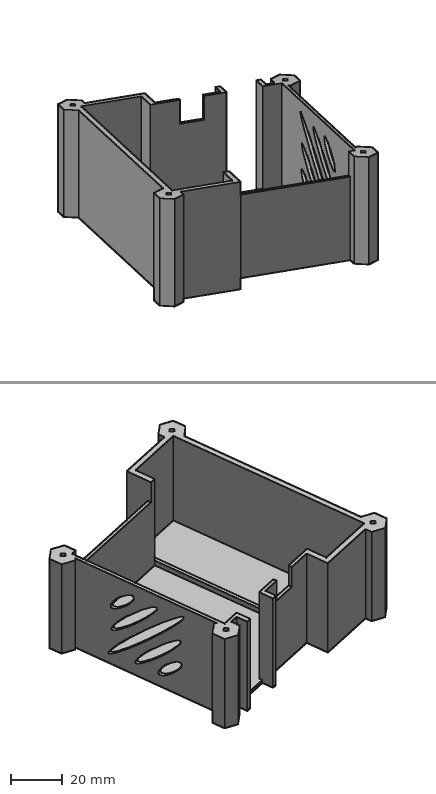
import cadquery as cq
import math

height = 45.0
post_pitch_y = 85.0
front_post_pitch_x = 95.0
rear_post_pitch_x = 77.0

post_corner_diameter = 11.5
post_flat_width = post_corner_diameter * math.cos(math.radians(30))
screw_hole_diameter = 2.0
screw_hole_depth = 10.0

front_width = front_post_pitch_x
front_depth = 30.0
front_wall = 2.5
front_floor = front_wall

rear_width = 75.0
rear_wall = 1.5
rear_floor = rear_wall
rear_back_y = 84.0
rear_inner_width = rear_width - 2 * rear_wall
rear_inner_front_y = front_depth - front_wall
rear_inner_back_y = rear_back_y - rear_wall
rear_front_y = rear_inner_front_y - rear_wall
sill_height = front_floor + rear_wall

notch_depth = 10.0
notch_width = 10.0
notch_front_y = 40.0
window_width = 15.0
window_inset = 8.0
window_back_y = rear_inner_back_y - window_inset
window_front_y = window_back_y - window_width
lowered_wall_back_y = post_pitch_y - post_flat_width / 2

fin_length = 5.0
fin_thickness = 2.0

vent_spacing = 8.0
vent_half_width = 2.0
vent_half_lengths = (7.5, 15.0, 25.0, 15.0, 7.5)
vent_angle = 45


def block(x_min, x_max, y_min, y_max, z_min, z_max):
    """Axis-aligned box between the given limits."""
    size = (x_max - x_min, y_max - y_min, z_max - z_min)
    return cq.Workplane("XY").box(*size, centered=False).translate((x_min, y_min, z_min))


def centred_block(width, y_min, y_max, z_min, z_max):
    """Box spread evenly to both sides of x = 0."""
    return block(-width / 2, width / 2, y_min, y_max, z_min, z_max)


def make_shell(posts):
    """Both compartments and the posts, hollowed out around the low sill."""
    front = centred_block(front_width, 0, front_depth, 0, height)
    rear = centred_block(rear_width, rear_front_y, rear_back_y, 0, height)
    front_cavity = centred_block(
        front_width - 2 * front_wall, front_wall, rear_inner_front_y, front_floor, height
    )
    rear_cavity = centred_block(
        rear_inner_width, rear_inner_front_y, rear_inner_back_y, rear_floor, height
    )
    sill = centred_block(rear_width, rear_front_y, rear_inner_front_y, 0, sill_height)
    return front.union(rear).union(posts).cut(front_cavity).cut(rear_cavity).union(sill)


def make_fins():
    """Two fins standing out from the left wall, one at each side of the window."""
    x_min = -rear_width / 2 - fin_length
    x_max = -rear_width / 2 + rear_wall
    front_fin = block(x_min, x_max, window_front_y - fin_thickness, window_front_y, 0, height)
    back_fin = block(x_min, x_max, window_back_y, window_back_y + fin_thickness, 0, height)
    return front_fin.union(back_fin)


def make_side_openings():
    """Window and notch in the left wall, and the lowered stretch of the right wall."""
    left = -rear_width / 2
    right = rear_width / 2
    lowered_z = height - notch_depth
    notch_back_y = notch_front_y + notch_width
    window = block(left, left + rear_wall, window_front_y, window_back_y, rear_floor, height)
    notch = block(left, left + rear_wall, notch_front_y, notch_back_y, lowered_z, height)
    lowered = block(right - rear_wall, right, front_depth, lowered_wall_back_y, lowered_z, height)
    return window.union(notch).union(lowered)


def make_vents():
    """Row of parallel ellipses, stepped across their long axes about the middle of the wall."""
    vents = cq.Workplane("XY")
    middle = (len(vent_half_lengths) - 1) / 2
    step = vent_spacing * math.sin(math.radians(vent_angle))
    for index, half_length in enumerate(vent_half_lengths):
        offset = (index - middle) * step
        vent = (
            cq.Workplane("XZ", origin=(offset, rear_back_y, height / 2 + offset))
            .ellipse(half_length, vent_half_width, rotation_angle=-vent_angle)
            .extrude(rear_wall)
        )
        vents = vents.add(vent)
    return vents.combine()


post_centres = [
    (side * pitch / 2, y)
    for pitch, y in ((front_post_pitch_x, 0), (rear_post_pitch_x, post_pitch_y))
    for side in (-1, 1)
]
posts = cq.Workplane("XY").pushPoints(post_centres).polygon(6, post_corner_diameter).extrude(height)
screw_holes = (
    cq.Workplane("XY", origin=(0, 0, height))
    .pushPoints(post_centres)
    .circle(screw_hole_diameter / 2)
    .extrude(-screw_hole_depth)
)

result = (
    make_shell(posts)
    .union(make_fins())
    .cut(make_side_openings())
    .cut(make_vents())
    .cut(screw_holes)
)